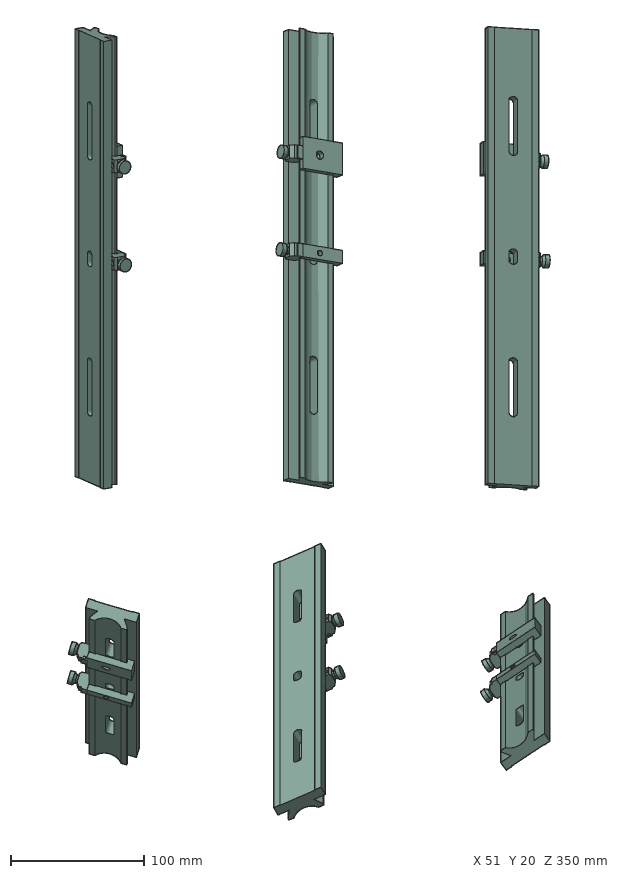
import cadquery as cq
import math

RAIL_LENGTH = 350.0
RAIL_WIDTH = 40.0
RAIL_HEIGHT = 15.0
FLANGE_THICKNESS = 7.5
NECK_HALF = 10.5
TIP_HALF = 14.7
TIP_LAND = 1.5
SCOOP_RADIUS = 14.0
SCOOP_FLOOR = 10.5
RECESS_HALF = 14.7
RECESS_DEPTH = 0.5
SLOT_WIDTH = 6.5
LONG_SLOT_LENGTH = 45.0
LONG_SLOT_OFFSET = 100.0
MIDDLE_SLOT_LENGTH = 12.0

PLATE_BACK = 20.0
PLATE_RIGHT = 15.0
CLAW_END = 12.0
PAD_HALF = 9.8
PAD_DEPTH = 0.5
LONG_PLATE_LENGTH = 25.0
SHORT_PLATE_LENGTH = 10.0
LONG_CLAMP_Z = 77.0
SHORT_CLAMP_Z = 0.7
LONG_PLATE_HOLE_DIAMETER = 6.3
SHORT_PLATE_HOLE_DIAMETER = 4.2

JAW_LENGTH = 10.0
JAW_RIGHT = 24.0
JAW_STEP_X = 19.5
JAW_STEP_DEPTH = 1.0
JAW_BACK_SHOULDER = 2.5
JAW_FRONT_SHOULDER = 1.5
JAW_NOSE_Y = 11.0
JAW_HOLE_X = 20.3
JAW_HOLE_DIAMETER = 4.2
JAW_HOLE_DEPTH = 3.5

KNOB_Y = 12.5
KNOB_DIAMETER = 10.0
NECK_DIAMETER = 6.3
KNOB_LENGTH = 3.5
KNOB_FLARE = 2.0
LONG_KNOB_END = 30.0
SHORT_KNOB_END = 31.0

PIN_X = 17.5
PIN_Y = 18.2
PIN_DIAMETER = 2.0

HALF_WIDTH = RAIL_WIDTH / 2
LAND_START = RAIL_HEIGHT - TIP_LAND
FLANK_SLOPE = (TIP_HALF - NECK_HALF) / (LAND_START - FLANGE_THICKNESS)


def flank_half_width(y):
    """Half width of the dovetail at height y on its sloping flank."""
    return NECK_HALF + (y - FLANGE_THICKNESS) * FLANK_SLOPE


def extrude_along_z(outline, length, z):
    """Centre a closed XY outline's extrusion at height z."""
    return outline.extrude(length / 2, both=True).translate((0, 0, z))


def make_rail():
    scoop_centre = SCOOP_FLOOR + SCOOP_RADIUS
    scoop_half = math.sqrt(SCOOP_RADIUS**2 - (scoop_centre - RAIL_HEIGHT) ** 2)
    outline = (
        cq.Workplane("XY")
        .moveTo(-HALF_WIDTH, 0)
        .lineTo(-RECESS_HALF, 0)
        .lineTo(-RECESS_HALF, RECESS_DEPTH)
        .lineTo(RECESS_HALF, RECESS_DEPTH)
        .lineTo(RECESS_HALF, 0)
        .lineTo(HALF_WIDTH, 0)
        .lineTo(HALF_WIDTH, FLANGE_THICKNESS)
        .lineTo(NECK_HALF, FLANGE_THICKNESS)
        .lineTo(TIP_HALF, LAND_START)
        .lineTo(TIP_HALF, RAIL_HEIGHT)
        .lineTo(scoop_half, RAIL_HEIGHT)
        .threePointArc((0, SCOOP_FLOOR), (-scoop_half, RAIL_HEIGHT))
        .lineTo(-TIP_HALF, RAIL_HEIGHT)
        .lineTo(-TIP_HALF, LAND_START)
        .lineTo(-NECK_HALF, FLANGE_THICKNESS)
        .lineTo(-HALF_WIDTH, FLANGE_THICKNESS)
        .close()
    )
    rail = extrude_along_z(outline, RAIL_LENGTH, 0)
    slots = [
        (LONG_SLOT_OFFSET, LONG_SLOT_LENGTH),
        (0, MIDDLE_SLOT_LENGTH),
        (-LONG_SLOT_OFFSET, LONG_SLOT_LENGTH),
    ]
    for z, length in slots:
        slot = cq.Workplane("XZ").center(0, z).slot2D(length, SLOT_WIDTH, 90).extrude(-RAIL_HEIGHT)
        rail = rail.cut(slot)
    return rail


def make_plate(z, length, hole_diameter):
    pad_front = RAIL_HEIGHT - PAD_DEPTH
    outline = (
        cq.Workplane("XY")
        .moveTo(-HALF_WIDTH, PLATE_BACK)
        .lineTo(PLATE_RIGHT, PLATE_BACK)
        .lineTo(PLATE_RIGHT, RAIL_HEIGHT)
        .lineTo(PAD_HALF, RAIL_HEIGHT)
        .lineTo(PAD_HALF, pad_front)
        .lineTo(-PAD_HALF, pad_front)
        .lineTo(-PAD_HALF, RAIL_HEIGHT)
        .lineTo(-TIP_HALF, RAIL_HEIGHT)
        .lineTo(-TIP_HALF, LAND_START)
        .lineTo(-flank_half_width(CLAW_END), CLAW_END)
        .lineTo(-HALF_WIDTH, CLAW_END)
        .close()
    )
    plate = extrude_along_z(outline, length, z)
    hole = cq.Workplane("XZ").center(0, z).circle(hole_diameter / 2).extrude(-PLATE_BACK)
    return plate.cut(hole)


def make_jaw(z):
    step_back = PLATE_BACK - JAW_STEP_DEPTH
    outline = (
        cq.Workplane("XY")
        .moveTo(PLATE_RIGHT, PLATE_BACK)
        .lineTo(JAW_STEP_X, PLATE_BACK)
        .lineTo(JAW_STEP_X, step_back)
        .lineTo(JAW_RIGHT - JAW_BACK_SHOULDER, step_back)
        .lineTo(JAW_RIGHT, KNOB_Y + NECK_DIAMETER / 2)
        .lineTo(JAW_RIGHT, KNOB_Y - NECK_DIAMETER / 2)
        .lineTo(JAW_RIGHT - JAW_FRONT_SHOULDER, FLANGE_THICKNESS)
        .lineTo(TIP_HALF, FLANGE_THICKNESS)
        .lineTo(flank_half_width(JAW_NOSE_Y), JAW_NOSE_Y)
        .lineTo(TIP_HALF, LAND_START)
        .lineTo(PLATE_RIGHT, RAIL_HEIGHT)
        .close()
    )
    jaw = extrude_along_z(outline, JAW_LENGTH, z)
    hole = (
        cq.Workplane("XZ", origin=(0, FLANGE_THICKNESS, 0))
        .center(JAW_HOLE_X, z)
        .circle(JAW_HOLE_DIAMETER / 2)
        .extrude(-JAW_HOLE_DEPTH)
    )
    return jaw.cut(hole)


def make_knob(z, end):
    outline = (
        cq.Workplane("XY")
        .moveTo(JAW_RIGHT, 0)
        .lineTo(JAW_RIGHT, NECK_DIAMETER / 2)
        .lineTo(end - KNOB_LENGTH - KNOB_FLARE, NECK_DIAMETER / 2)
        .lineTo(end - KNOB_LENGTH, KNOB_DIAMETER / 2)
        .lineTo(end, KNOB_DIAMETER / 2)
        .lineTo(end, 0)
        .close()
    )
    return outline.revolve(360, (0, 0, 0), (1, 0, 0)).translate((0, KNOB_Y, z))


def make_pin(z):
    outline = cq.Workplane("XY").center(PIN_X, PIN_Y).circle(PIN_DIAMETER / 2)
    return extrude_along_z(outline, JAW_LENGTH, z)


rail = make_rail()
pin = make_pin(LONG_CLAMP_Z)
bodies = [rail.val(), pin.val()]
clamps = [
    (LONG_CLAMP_Z, LONG_PLATE_LENGTH, LONG_PLATE_HOLE_DIAMETER, LONG_KNOB_END),
    (SHORT_CLAMP_Z, SHORT_PLATE_LENGTH, SHORT_PLATE_HOLE_DIAMETER, SHORT_KNOB_END),
]
for clamp_z, plate_length, hole_diameter, knob_end in clamps:
    plate = make_plate(clamp_z, plate_length, hole_diameter)
    jaw = make_jaw(clamp_z).cut(pin)
    knob = make_knob(clamp_z, knob_end)
    bodies += [plate.val(), jaw.val(), knob.val()]

result = cq.Compound.makeCompound(bodies)